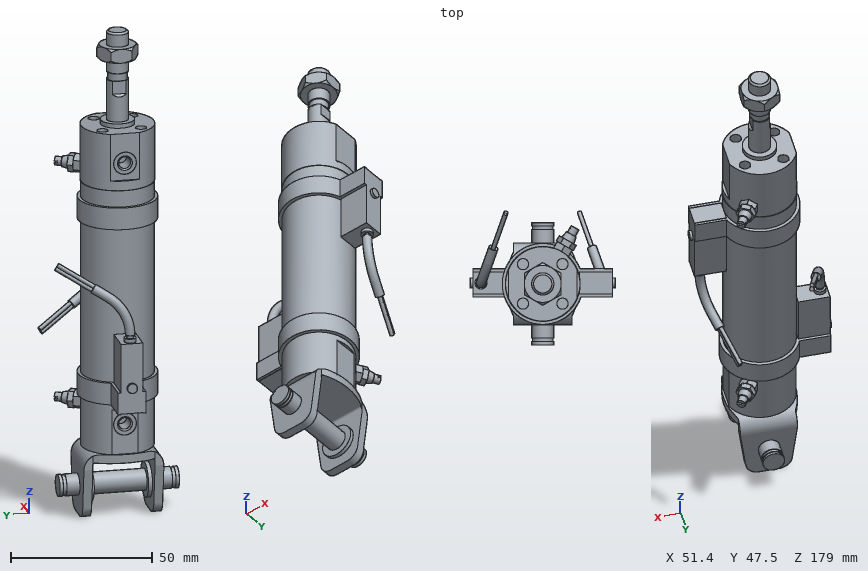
import cadquery as cq
import math


CAP_BOTTOM = 24.9
TUBE_RADIUS = 13.0
REAR_FLAT_TOP = 41.5
HEAD_BOTTOM = 123.3
HEAD_RADIUS = 13.2
FRONT_FLAT_BOTTOM = 127.0
HEAD_TOP = 144.3
FLAT_DISTANCE = 12.2
COLLAR_RADIUS = 6.0
COLLAR_TOP = 145.9
SCREW_HOLE_RADIUS = 2.0
SCREW_HOLE_DEPTH = 8.0
SCREW_HOLE_SPACING = 14.0
PORT_HEIGHTS = (36.0, 133.2)
PORT_RADIUS = 2.1
PORT_CHAMFER = 0.5
PORT_DEPTH = 7.2
PORT_SEAT_RADIUS = 4.1
PORT_SEAT_DEPTH = 0.2

VALVE_HEIGHTS = (40.1, 128.0)
VALVE_ANGLE = 60.0
VALVE_ROOT = 10.7
VALVE_HEX_CORNERS = 7.0
VALVE_BODY_END = 15.5
VALVE_NUT_END = 17.7
VALVE_CONE_BASE_RADIUS = 2.5
VALVE_CONE_TIP_RADIUS = 2.0
VALVE_CONE_END = 20.2
VALVE_STEM_RADIUS = 1.6
VALVE_TIP = 23.0
VALVE_SLOT_WIDTH = 0.7
VALVE_SLOT_DEPTH = 1.0

ROD_RADIUS = 4.0
ROD_TOP = 179.0
ROD_CHAMFER = 0.7
NECK_DEPTH = 0.45
NECK_BOTTOM = 161.0
NECK_TOP = 163.8
WRENCH_FLAT_WIDTH = 6.0
WRENCH_FLAT_BOTTOM = 156.0
NUT_WIDTH = 13.0
NUT_HEIGHT = 5.2
NUT_BOTTOM = 168.6

CLEVIS_THICKNESS = 3.2
CLEVIS_HALF_SPAN = 14.5
CLEVIS_BEND_RADIUS = 5.9
CLEVIS_INNER_RADIUS = 0.9
EAR_TOP_HALF_WIDTH = 10.4
EAR_BOTTOM_HALF_WIDTH = 7.9
EAR_CORNER_RADIUS = 4.8
BUSH_RADIUS = 6.5
BUSH_LENGTH = 1.5
PIN_RADIUS = 4.0
PIN_HEIGHT = 10.7
PIN_HALF_LENGTH = 21.7
PIN_GROOVE_OFFSET = 1.3
PIN_GROOVE_WIDTH = 1.3
PIN_GROOVE_DEPTH = 0.27

SENSOR_MIRROR_HEIGHT = 80.5
BAND_BOTTOM = 43.9
BAND_HEIGHT = 8.0
SENSOR_Y = 0.4
SENSOR_WIDTH = 7.9
SENSOR_RECESS = 0.2
SENSOR_TOP = 70.0
SENSOR_REACH = 24.7
BAND_THICKNESS = 1.3
BAND_LEG_THICKNESS = 1.0
BUTTON_RADIUS = 1.8
BUTTON_HEIGHT = 53.5
BUTTON_LENGTH = 0.98
CABLE_X = -21.8
FERRULE_RADIUS = 2.1
FERRULE_LENGTH = 1.5
SLEEVE_RADIUS = 1.7
SLEEVE_START = 2.5
CABLE_NECK_RADIUS = 1.3
WIRE_RADIUS = 0.77
WIRE_OFFSET = 0.7
CABLE_BEND_RADIUS = 15.8
CABLE_BEND_ANGLE = 60.0
CABLE_HEADING = 70.4
SLEEVE_END_LENGTH = 6.0
WIRE_LENGTH = 15.0


def cylinder(radius, bottom, top):
    return cq.Workplane("XY").workplane(offset=bottom).circle(radius).extrude(top - bottom)


def flatten_sides(body, bottom, top):
    """Cut two parallel flats at X = +/- FLAT_DISTANCE between two heights."""
    width = 2 * FLAT_DISTANCE
    slab = cq.Workplane("XY").box(width, 2 * HEAD_RADIUS, top - bottom)
    slab = slab.translate((0, 0, (bottom + top) / 2))
    return body.cut(cylinder(HEAD_RADIUS, bottom, top).cut(slab))


def port_cutter(height):
    """Chamfered port hole with a shallow round seat, drilled inward from the -X flat."""
    profile = [
        (0, 0),
        (PORT_SEAT_RADIUS, 0),
        (PORT_SEAT_RADIUS, PORT_SEAT_DEPTH),
        (PORT_RADIUS + PORT_CHAMFER, PORT_SEAT_DEPTH),
        (PORT_RADIUS, PORT_SEAT_DEPTH + PORT_CHAMFER),
        (PORT_RADIUS, PORT_DEPTH),
        (0, PORT_DEPTH),
    ]
    cutter = cq.Workplane("XY").polyline(profile).close().revolve(360, (0, 0, 0), (0, 1, 0))
    return cutter.rotate((0, 0, 0), (0, 0, 1), -90).translate((-FLAT_DISTANCE, 0, height))


def hexagon_bar(corner_diameter, bottom, top):
    return cq.Workplane("XY").workplane(offset=bottom).polygon(6, corner_diameter).extrude(top - bottom)


def make_valve(height):
    """Needle valve pointing outward: hexagonal body, lock nut turned by 30 degrees, slotted stem."""
    body = hexagon_bar(VALVE_HEX_CORNERS, VALVE_ROOT, VALVE_BODY_END)
    lock_nut = hexagon_bar(VALVE_HEX_CORNERS, VALVE_BODY_END, VALVE_NUT_END)
    lock_nut = lock_nut.rotate((0, 0, 0), (0, 0, 1), 30)
    cone = (
        cq.Workplane("XY").workplane(offset=VALVE_NUT_END).circle(VALVE_CONE_BASE_RADIUS)
        .workplane(offset=VALVE_CONE_END - VALVE_NUT_END).circle(VALVE_CONE_TIP_RADIUS).loft()
    )
    stem = cylinder(VALVE_STEM_RADIUS, VALVE_CONE_END, VALVE_TIP)
    slot = cq.Workplane("XY").box(VALVE_SLOT_WIDTH, 4 * VALVE_STEM_RADIUS, 2 * VALVE_SLOT_DEPTH)
    valve = body.union(lock_nut).union(cone).union(stem).cut(slot.translate((0, 0, VALVE_TIP)))
    valve = valve.rotate((0, 0, 0), (0, 1, 0), 90).rotate((0, 0, 0), (0, 0, 1), VALVE_ANGLE)
    return valve.translate((0, 0, height))


def make_cylinder_body(rod, valves):
    body = cylinder(TUBE_RADIUS, CAP_BOTTOM, HEAD_BOTTOM)
    body = body.union(cylinder(HEAD_RADIUS, HEAD_BOTTOM, HEAD_TOP))
    body = flatten_sides(body, CAP_BOTTOM, REAR_FLAT_TOP)
    body = flatten_sides(body, FRONT_FLAT_BOTTOM, HEAD_TOP)
    body = body.union(cylinder(COLLAR_RADIUS, HEAD_TOP, COLLAR_TOP))
    screw_holes = (
        cq.Workplane("XY").workplane(offset=HEAD_TOP)
        .rect(SCREW_HOLE_SPACING, SCREW_HOLE_SPACING, forConstruction=True)
        .vertices().circle(SCREW_HOLE_RADIUS).extrude(-SCREW_HOLE_DEPTH)
    )
    body = body.cut(screw_holes).cut(rod)
    for height in PORT_HEIGHTS:
        body = body.cut(port_cutter(height))
    for valve in valves:
        body = body.cut(valve)
    return body


def make_rod():
    """Rod with a chamfered end, a neck below the nut and two wrench flats with sloped run-outs."""
    rod = cylinder(ROD_RADIUS, HEAD_BOTTOM, ROD_TOP).faces(">Z").chamfer(ROD_CHAMFER)
    neck = cylinder(2 * ROD_RADIUS, NECK_BOTTOM, NECK_TOP).cut(
        cylinder(ROD_RADIUS - NECK_DEPTH, NECK_BOTTOM, NECK_TOP)
    )
    rod = rod.cut(neck)
    half_width = WRENCH_FLAT_WIDTH / 2
    run_out = ROD_RADIUS - half_width
    flat_profile = [
        (half_width, NECK_BOTTOM),
        (half_width, WRENCH_FLAT_BOTTOM),
        (ROD_RADIUS, WRENCH_FLAT_BOTTOM - run_out),
        (ROD_RADIUS, NECK_BOTTOM),
    ]
    flat = cq.Workplane("XZ").polyline(flat_profile).close().extrude(ROD_RADIUS, both=True)
    return rod.cut(flat).cut(flat.mirror("YZ"))


def make_nut(rod):
    """Hexagon nut with flats facing +/-X and its corners chamfered at both ends."""
    corner_radius = NUT_WIDTH / 2 / math.cos(math.radians(30))
    bevel = corner_radius - NUT_WIDTH / 2
    nut = hexagon_bar(2 * corner_radius, 0, NUT_HEIGHT).rotate((0, 0, 0), (0, 0, 1), 30)
    envelope = cylinder(corner_radius, 0, NUT_HEIGHT).faces("<Z or >Z").chamfer(bevel)
    return nut.intersect(envelope).translate((0, 0, NUT_BOTTOM)).cut(rod)


def make_pin():
    """Clevis pin along Y with a ring groove near each end."""
    pin = cq.Workplane("XZ").circle(PIN_RADIUS).extrude(PIN_HALF_LENGTH, both=True)
    groove = (
        cq.Workplane("XZ").workplane(offset=PIN_HALF_LENGTH - PIN_GROOVE_OFFSET)
        .circle(PIN_RADIUS).circle(PIN_RADIUS - PIN_GROOVE_DEPTH).extrude(-PIN_GROOVE_WIDTH)
    )
    pin = pin.cut(groove).cut(groove.mirror("XZ"))
    return pin.translate((0, 0, PIN_HEIGHT))


def make_clevis(pin):
    """Bent strap with two tapered ears, a base plate with bowed sides and a bush inside each ear."""
    inner_half_span = CLEVIS_HALF_SPAN - CLEVIS_THICKNESS
    inner_top = CAP_BOTTOM - CLEVIS_THICKNESS
    outer = (
        cq.Workplane("YZ").rect(2 * CLEVIS_HALF_SPAN, 2 * CAP_BOTTOM)
        .extrude(TUBE_RADIUS, both=True).edges("|X and >Z").fillet(CLEVIS_BEND_RADIUS)
    )
    inner = (
        cq.Workplane("YZ").rect(2 * inner_half_span, 2 * inner_top)
        .extrude(TUBE_RADIUS, both=True)
        .edges("|X and >Z").fillet(CLEVIS_INNER_RADIUS)
    )
    taper_top = CAP_BOTTOM - CLEVIS_BEND_RADIUS
    ear_outline = [
        (-EAR_TOP_HALF_WIDTH, CAP_BOTTOM),
        (-EAR_TOP_HALF_WIDTH, taper_top),
        (-EAR_BOTTOM_HALF_WIDTH, 0),
        (EAR_BOTTOM_HALF_WIDTH, 0),
        (EAR_TOP_HALF_WIDTH, taper_top),
        (EAR_TOP_HALF_WIDTH, CAP_BOTTOM),
    ]
    outline = (
        cq.Workplane("XZ").polyline(ear_outline).close().extrude(CLEVIS_HALF_SPAN, both=True)
        .edges("|Y and <Z").fillet(EAR_CORNER_RADIUS)
    )
    base_plate = (
        cq.Workplane("XY").workplane(offset=inner_top)
        .moveTo(-EAR_TOP_HALF_WIDTH, -inner_half_span)
        .threePointArc((-TUBE_RADIUS, 0), (-EAR_TOP_HALF_WIDTH, inner_half_span))
        .lineTo(EAR_TOP_HALF_WIDTH, inner_half_span)
        .threePointArc((TUBE_RADIUS, 0), (EAR_TOP_HALF_WIDTH, -inner_half_span))
        .close().extrude(CLEVIS_THICKNESS)
    )
    clevis = outer.cut(inner).intersect(outline.union(base_plate))
    bush = (
        cq.Workplane("XZ", origin=(0, 0, PIN_HEIGHT)).workplane(offset=inner_half_span)
        .circle(BUSH_RADIUS).extrude(-BUSH_LENGTH)
    )
    return clevis.union(bush).union(bush.mirror("XZ")).cut(pin)


def side_block(width, bottom, top):
    """Block on the -X side, from the tube out to the end of the sensor."""
    block_length = SENSOR_REACH - TUBE_RADIUS
    block = cq.Workplane("XY").box(block_length, width, top - bottom)
    return block.translate((-(SENSOR_REACH + TUBE_RADIUS) / 2, SENSOR_Y, (bottom + top) / 2))


def make_cable():
    """Two-wire cable leaving the sensor upward and bending toward +Y, in a sleeve at its start."""
    bend_start = SENSOR_TOP + SLEEVE_START
    angle = math.radians(CABLE_BEND_ANGLE)
    end_x = CABLE_BEND_RADIUS * (1 - math.cos(angle))
    end_z = CABLE_BEND_RADIUS * math.sin(angle)
    path = cq.Workplane("XZ").radiusArc((end_x, end_z), CABLE_BEND_RADIUS)
    bend = cq.Workplane("XY").circle(SLEEVE_RADIUS).sweep(path)
    straight = cq.Workplane(
        cq.Plane(
            origin=(end_x, 0, end_z),
            xDir=(math.cos(angle), 0, -math.sin(angle)),
            normal=(math.sin(angle), 0, math.cos(angle)),
        )
    )
    cable = bend.union(straight.circle(SLEEVE_RADIUS).extrude(SLEEVE_END_LENGTH))
    for side in (-1, 1):
        wire = straight.center(side * WIRE_OFFSET, 0).circle(WIRE_RADIUS)
        cable = cable.union(wire.extrude(SLEEVE_END_LENGTH + WIRE_LENGTH))
    cable = cable.rotate((0, 0, 0), (0, 0, 1), CABLE_HEADING).translate((0, 0, bend_start))
    cable = cable.union(cylinder(FERRULE_RADIUS, SENSOR_TOP, SENSOR_TOP + FERRULE_LENGTH))
    cable = cable.union(cylinder(CABLE_NECK_RADIUS, SENSOR_TOP, bend_start))
    return cable.translate((CABLE_X, SENSOR_Y, 0))


def make_sensor():
    """Position sensor on the -X side, in one piece with its band around the tube."""
    band_top = BAND_BOTTOM + BAND_HEIGHT
    housing = side_block(SENSOR_WIDTH, BAND_BOTTOM + SENSOR_RECESS, SENSOR_TOP)
    button = (
        cq.Workplane("YZ", origin=(-SENSOR_REACH, SENSOR_Y, BUTTON_HEIGHT))
        .circle(BUTTON_RADIUS).extrude(-BUTTON_LENGTH)
    )
    ring = cylinder(TUBE_RADIUS + BAND_THICKNESS, BAND_BOTTOM, band_top)
    legs = side_block(SENSOR_WIDTH + 2 * BAND_LEG_THICKNESS, BAND_BOTTOM, band_top)
    gap = side_block(SENSOR_WIDTH, BAND_BOTTOM, band_top)
    band = ring.union(legs).cut(gap).cut(cylinder(TUBE_RADIUS, BAND_BOTTOM, band_top))
    return band.union(housing).union(button).union(make_cable())


def on_opposite_side(body):
    """Turn a body half a turn about the Y direction, midway between the two sensors."""
    return body.rotate((0, 0, SENSOR_MIRROR_HEIGHT), (0, 1, SENSOR_MIRROR_HEIGHT), 180)


rod = make_rod()
valves = [make_valve(height) for height in VALVE_HEIGHTS]
cylinder_body = make_cylinder_body(rod, valves)
nut = make_nut(rod)
pin = make_pin()
clevis = make_clevis(pin)
sensor = make_sensor()
sensors = [sensor, on_opposite_side(sensor)]
result = cq.Compound.makeCompound([
    cylinder_body.val(),
    rod.val(),
    nut.val(),
    clevis.val(),
    pin.val(),
    *[valve.val() for valve in valves],
    *[each.val() for each in sensors],
])